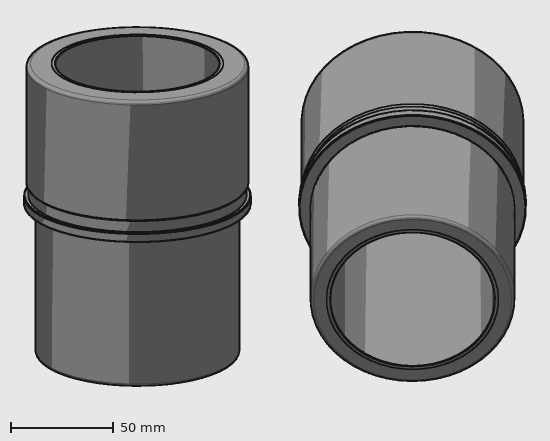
import cadquery as cq

total_height = 150.0
neck_bottom = 75.5
collar_bottom = 77.0
collar_top = 81.8
groove_top = 87.3
head_bottom = 88.2

collar_radius = 55.5
head_radius = 54.3
groove_radius = 53.4
shank_radius = 50.0
neck_radius = 49.2

head_fillet = 2.0
shank_fillet = 1.6
collar_chamfer = 0.5

bore_radius = 42.0
liner_thickness = 2.0
liner_chamfer = 0.3
liner_radius = bore_radius - liner_thickness


def make_housing():
    """Guide bush housing: a revolved stepped profile with a plain through bore."""
    profile = [
        (bore_radius, 0),
        (shank_radius, 0),
        (shank_radius, neck_bottom),
        (neck_radius, collar_bottom),
        (collar_radius - collar_chamfer, collar_bottom),
        (collar_radius, collar_bottom + collar_chamfer),
        (collar_radius, collar_top - collar_chamfer),
        (collar_radius - collar_chamfer, collar_top),
        (groove_radius, collar_top),
        (groove_radius, groove_top),
        (head_radius, head_bottom),
        (head_radius, total_height),
        (bore_radius, total_height),
    ]
    body = cq.Workplane("XZ").polyline(profile).close().revolve(360, (0, 0, 0), (0, 1, 0))
    body = body.faces(">Z").edges(cq.selectors.RadiusNthSelector(-1)).fillet(head_fillet)
    return body.faces("<Z").edges(cq.selectors.RadiusNthSelector(-1)).fillet(shank_fillet)


def make_liner():
    """Thin sleeve lining the bore, flush with the housing ends, with its inner edges chamfered."""
    sleeve = (
        cq.Workplane("XY")
        .circle(bore_radius)
        .circle(liner_radius)
        .extrude(total_height)
    )
    inner_edges = sleeve.faces("<Z or >Z").edges(cq.selectors.RadiusNthSelector(0))
    return inner_edges.chamfer(liner_chamfer)


housing = make_housing()
liner = make_liner()

result = cq.Compound.makeCompound([housing.val(), liner.val()])